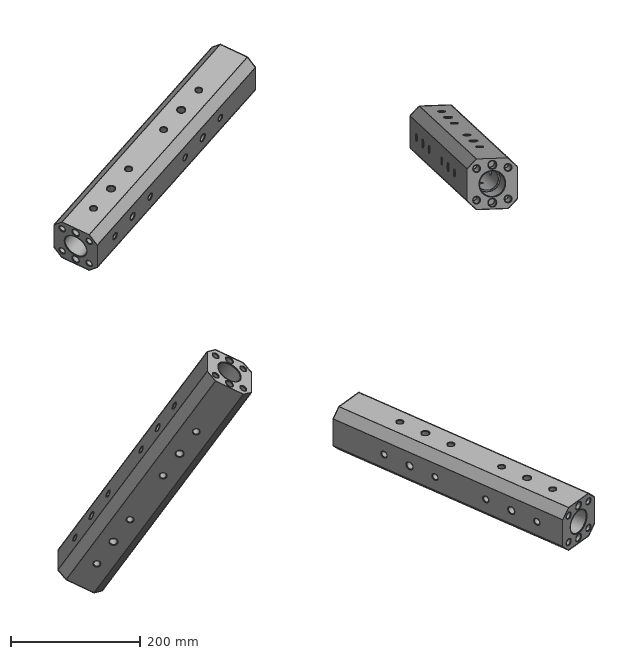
import cadquery as cq
import math

length = 451.0
width = 80.0
edge_chamfer = 15.0

bore_diameter = 35.0
mouth_diameter = 40.0
mouth_depth = 40.0

screw_diameter = 10.5
pin_diameter = 12.0
pin_depth = 15.0
rim_chamfer = 1.0

end_screw_offset = 25.0
end_screw_depth = 25.0
end_pin_offset = 29.8
drill_point_angle = 118.0

group_centers = (-124.5, 75.5)
screw_spacing = 50.0


def hole(diameter, depth, start, direction):
    """Flat-bottomed hole with a 45 degree chamfer around its rim."""
    radius = diameter / 2
    origin = cq.Vector(*start)
    axis = cq.Vector(*direction)
    shaft = cq.Solid.makeCylinder(radius, depth, origin, axis)
    rim = cq.Solid.makeCone(radius + rim_chamfer, radius, rim_chamfer, origin, axis)
    return shaft.fuse(rim)


def drilled_hole(diameter, depth, start, direction):
    """Chamfered hole with the conical bottom left by a drill."""
    radius = diameter / 2
    point_depth = radius / math.tan(math.radians(drill_point_angle / 2))
    axis = cq.Vector(*direction)
    point = cq.Solid.makeCone(radius, 0, point_depth, cq.Vector(*start) + axis * depth, axis)
    return hole(diameter, depth, start, direction).fuse(point)


def make_bar():
    return cq.Workplane("XY").box(width, length, width).edges("|Y").chamfer(edge_chamfer)


def cut_bore(bar):
    bore = cq.Solid.makeCylinder(bore_diameter / 2, length, cq.Vector(0, -length / 2, 0), cq.Vector(0, 1, 0))
    bar = bar.cut(bore)
    for end in (-1, 1):
        bar = bar.cut(hole(mouth_diameter, mouth_depth, (0, end * length / 2, 0), (0, -end, 0)))
    return bar


def cut_end_holes(bar):
    for end in (-1, 1):
        face_y = end * length / 2
        inward = (0, -end, 0)
        for side_z in (-1, 1):
            bar = bar.cut(hole(pin_diameter, pin_depth, (0, face_y, side_z * end_pin_offset), inward))
            for side_x in (-1, 1):
                start = (side_x * end_screw_offset, face_y, side_z * end_screw_offset)
                bar = bar.cut(drilled_hole(screw_diameter, end_screw_depth, start, inward))
    return bar


def cut_side_holes(bar):
    half = width / 2
    for group_y in group_centers:
        row = (
            (group_y - screw_spacing, screw_diameter, half),
            (group_y, pin_diameter, pin_depth),
            (group_y + screw_spacing, screw_diameter, half),
        )
        for hole_y, diameter, depth in row:
            for side in (-1, 1):
                bar = bar.cut(hole(diameter, depth, (side * half, hole_y, 0), (-side, 0, 0)))
                bar = bar.cut(hole(diameter, depth, (0, hole_y, side * half), (0, 0, -side)))
    return bar


result = cut_side_holes(cut_end_holes(cut_bore(make_bar())))